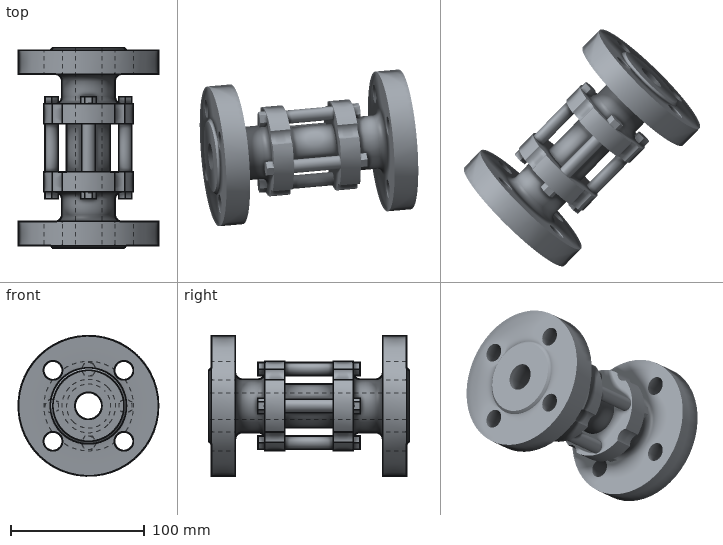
import cadquery as cq
import math

overall_length = 150.0
bore_diameter = 20.0

flange_diameter = 105.0
flange_thickness = 18.0
raised_face_diameter = 57.0
raised_face_height = 2.0
raised_face_chamfer = raised_face_height
flange_hole_diameter = 14.0
flange_hole_circle = 75.0
flange_hole_count = 4

neck_diameter = 40.0
neck_fillet = 5.0

plate_diameter = 67.0
plate_thickness = 15.0
plate_gap = 36.0
tube_diameter = 33.0

rod_diameter = 10.0
rod_circle = 55.0
rod_count = 4
head_across_flats = rod_diameter
head_height = 5.2

end_y = overall_length / 2
flange_outer_y = end_y - raised_face_height
flange_inner_y = flange_outer_y - flange_thickness
plate_inner_y = plate_gap / 2
plate_outer_y = plate_inner_y + plate_thickness
head_outer_y = plate_outer_y + head_height


def section_at(y):
    """Workplane at height y whose local X is X, local Y is Z and normal is -Y."""
    return cq.Workplane("XZ", origin=(0, y, 0))


def cylinder(diameter, y_start, y_end):
    """Cylinder about the Y axis between two positions, y_start < y_end."""
    return section_at(y_end).circle(diameter / 2).extrude(y_end - y_start)


def make_end_body():
    """Solid of revolution from the inner face of the +Y clamp plate to the +Y end."""
    plate_radius = plate_diameter / 2
    neck_radius = neck_diameter / 2
    flange_radius = flange_diameter / 2
    face_radius = raised_face_diameter / 2
    fillet_radius = neck_radius + neck_fillet
    arc_inset = neck_fillet * (1 - math.sqrt(0.5))
    profile = (
        cq.Workplane("XY")
        .moveTo(0, plate_inner_y)
        .lineTo(plate_radius, plate_inner_y)
        .lineTo(plate_radius, plate_outer_y)
        .lineTo(fillet_radius, plate_outer_y)
        .threePointArc(
            (neck_radius + arc_inset, plate_outer_y + arc_inset),
            (neck_radius, plate_outer_y + neck_fillet),
        )
        .lineTo(neck_radius, flange_inner_y - neck_fillet)
        .threePointArc(
            (neck_radius + arc_inset, flange_inner_y - arc_inset),
            (fillet_radius, flange_inner_y),
        )
        .lineTo(flange_radius, flange_inner_y)
        .lineTo(flange_radius, flange_outer_y)
        .lineTo(face_radius, flange_outer_y)
        .lineTo(face_radius - raised_face_chamfer, end_y)
        .lineTo(0, end_y)
        .close()
    )
    return profile.revolve(360, (0, 0, 0), (0, 1, 0))


def make_flange_hole_cutters():
    """Bolt clearances through each flange and its plate rim, between the tie rods."""
    first_angle = 180 / flange_hole_count
    return (
        section_at(end_y)
        .polarArray(flange_hole_circle / 2, first_angle, 360, flange_hole_count)
        .circle(flange_hole_diameter / 2)
        .extrude(overall_length)
    )


def make_tie_rod():
    """Tie rod on the +X side, with head flats facing the fitting axis."""
    rod = cylinder(rod_diameter, -plate_outer_y, plate_outer_y)
    head_across_corners = head_across_flats / math.cos(math.pi / 6)
    for head_end_y in (head_outer_y, -plate_outer_y):
        head = (
            section_at(head_end_y)
            .transformed(rotate=(0, 0, 90))
            .polygon(6, head_across_corners)
            .extrude(head_height)
        )
        rod = rod.union(head)
    return rod.translate((rod_circle / 2, 0, 0))


end_body = make_end_body()
result = cylinder(tube_diameter, -plate_inner_y, plate_inner_y)
result = result.union(end_body).union(end_body.mirror("XZ"))
result = result.cut(make_flange_hole_cutters())

tie_rod = make_tie_rod()
for index in range(rod_count):
    angle = index * 360 / rod_count
    result = result.union(tie_rod.rotate((0, 0, 0), (0, 1, 0), angle))

result = result.cut(cylinder(bore_diameter, -end_y, end_y))